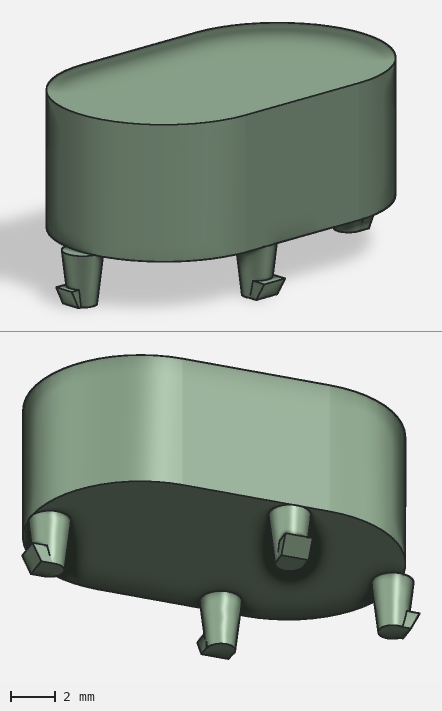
import cadquery as cq

body_width = 10.5
straight_length = 7.0
body_length = body_width + straight_length
body_height = 6.4

leg_height = 2.5
leg_top_radius = 0.95
leg_bottom_radius = 0.65

hook_height = 0.85
side_hook_overhang = 0.52
end_hook_overhang = 0.43
hook_width = 2 * leg_bottom_radius
front_hook_width = 1.02
right_hook_shift = 0.04
front_hook_shift = 0.1

side_leg_x = 4.32
side_leg_y = -1.95
back_leg_y = 7.84
front_leg_y = -8.5


def make_body():
    return (
        cq.Workplane("XY")
        .slot2D(body_length, body_width, 90)
        .extrude(body_height)
    )


def make_leg(overhang, width, shift):
    """Leg with its axis on Z and its hook toward +X, the hook shifted along Y."""
    cone = cq.Workplane(
        cq.Solid.makeCone(leg_bottom_radius, leg_top_radius, leg_height)
    )
    hook_tip = leg_bottom_radius + overhang
    hook = (
        cq.Workplane("XZ", origin=(0, shift + width / 2, 0))
        .polyline([
            (0, 0),
            (leg_bottom_radius, 0),
            (hook_tip, hook_height),
            (0, hook_height),
        ])
        .close()
        .extrude(width)
    )
    return cone.union(hook).translate((0, 0, -leg_height))


legs = [
    (side_leg_x, side_leg_y, 0, side_hook_overhang, hook_width, right_hook_shift),
    (-side_leg_x, side_leg_y, 180, side_hook_overhang, hook_width, 0),
    (0, back_leg_y, 90, end_hook_overhang, hook_width, 0),
    (0, front_leg_y, -90, end_hook_overhang, front_hook_width, -front_hook_shift),
]

result = make_body()
for x, y, hook_angle, overhang, width, shift in legs:
    leg = make_leg(overhang, width, shift).rotate((0, 0, 0), (0, 0, 1), hook_angle)
    result = result.union(leg.translate((x, y, 0)))